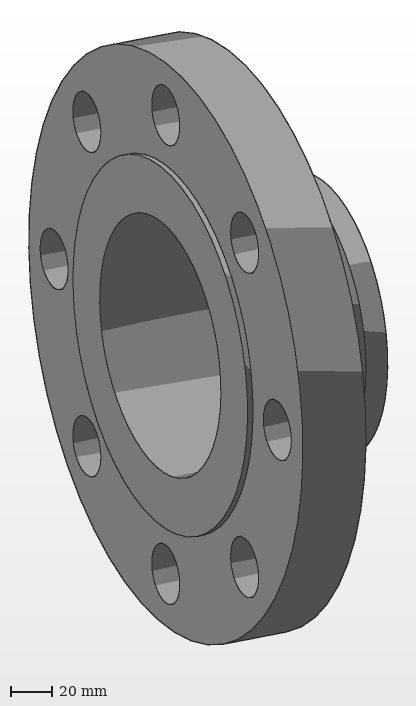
import cadquery as cq

total_length = 88.0
raised_face_height = 3.0
flange_thickness = 34.2
weld_end_length = 11.8

flange_diameter = 295.0
raised_face_diameter = 188.0
bore_diameter = 130.5
weld_end_diameter = 139.8
hub_base_diameter = 167.0

hub_fillet_radius = 8.0

bolt_count = 8
bolt_circle_diameter = 240.0
bolt_hole_diameter = 30.0

flange_back = raised_face_height + flange_thickness
taper_end = total_length - weld_end_length


def turned_body():
    """Revolve the half section, drawn as (Y, radius) points, about the Y axis."""
    section = (
        cq.Workplane("YZ")
        .moveTo(0, bore_diameter / 2)
        .lineTo(0, raised_face_diameter / 2)
        .lineTo(raised_face_height, raised_face_diameter / 2)
        .lineTo(raised_face_height, flange_diameter / 2)
        .lineTo(flange_back, flange_diameter / 2)
        .lineTo(flange_back, hub_base_diameter / 2)
        .lineTo(taper_end, weld_end_diameter / 2)
        .lineTo(total_length, weld_end_diameter / 2)
        .lineTo(total_length, bore_diameter / 2)
        .close()
    )
    return section.revolve(360, (0, 0, 0), (1, 0, 0))


def fillet_hub(body):
    """Round the inside corner where the hub meets the flange."""
    hub_base_circle = cq.selectors.RadiusNthSelector(2)
    return body.edges("%CIRCLE").edges(hub_base_circle).fillet(hub_fillet_radius)


def bolt_holes():
    """Cutters for the bolt holes, through the flange along Y."""
    return (
        cq.Workplane("XZ")
        .polarArray(bolt_circle_diameter / 2, 0, 360, bolt_count)
        .circle(bolt_hole_diameter / 2)
        .extrude(-total_length)
    )


result = fillet_hub(turned_body()).cut(bolt_holes())